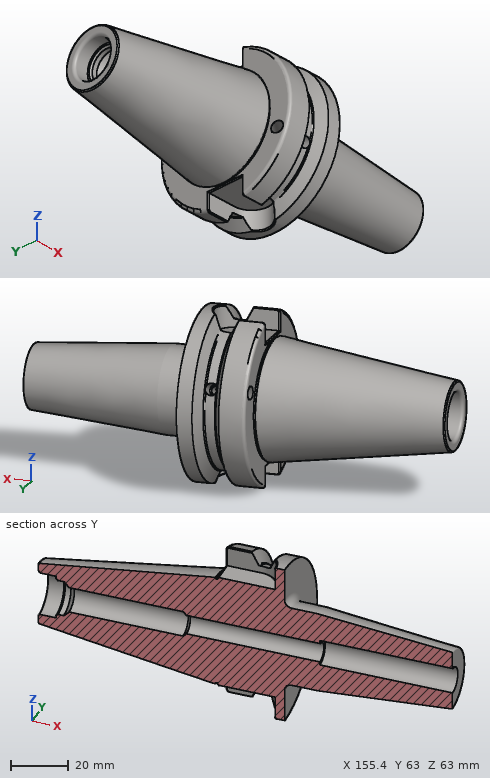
import cadquery as cq
import math

total_length = 155.4
taper_length = 65.7
flange_start = 67.3
flange_end = 92.5

gauge_diameter = 44.5
taper_ratio = 7 / 24
small_diameter = gauge_diameter - taper_length * taper_ratio
small_end_chamfer = 0.5
relief_start = 66.5
relief_radius = 21.8

flange_diameter = 63.0
flange_radius = flange_diameter / 2
flange_fillet = 1.2
groove_top_start = 77.0
groove_floor_width = 4.4
groove_top_width = 9.8
groove_center = groove_top_start + groove_top_width / 2
groove_radius = 26.5
groove_fillet = 0.6
groove_floor_start = groove_center - groove_floor_width / 2
groove_floor_end = groove_center + groove_floor_width / 2
groove_top_end = groove_top_start + groove_top_width

neck_radius = 16.2
neck_fillet = 2.6
neck_end = 104.6
nose_tip_radius = 12.0
nose_fillet = 0.6

slot_width = 16.2
slot_floor = 22.5
slot_end = 88.7
slot_floor_chamfer = 0.5
slot_edge_chamfer = 0.5

pilot_radius = 8.5
pilot_depth = 6.7
pilot_mouth_fillet = 1.2
seat_radius = 7.8
collar_radius = 7.0
collar_depth = 9.6
drill_radius = 5.0
drill_depth = 54.4
passage_radius = 3.7
clamp_radius = 5.0
clamp_depth = 49.7

coolant_angle = 20.5
coolant_radius = 2.3
coolant_face_distance = 26.9
coolant_tilt = 40.0
plug_radius = 2.2
plug_floor = 21.0
cross_radius = 1.5

rim_tolerance = 0.002


def revolve_profile(profile):
    """Close a half outline and turn it about the X axis."""
    return profile.close().revolve(360, (0, 0, 0), (1, 0, 0))


def make_body():
    """Taper, grooved flange and nose as one turned solid."""
    flank_run = (groove_top_width - groove_floor_width) / 2
    flank_angle = math.atan2(flange_radius - groove_radius, flank_run)
    corner_length = groove_fillet * math.tan(flank_angle / 2)
    corner_run = corner_length * math.cos(flank_angle)
    corner_rise = corner_length * math.sin(flank_angle)
    profile = (
        cq.Workplane("XZ")
        .moveTo(0, 0)
        .lineTo(0, small_diameter / 2 - small_end_chamfer)
        .lineTo(small_end_chamfer, small_diameter / 2 + small_end_chamfer * taper_ratio / 2)
        .lineTo(taper_length, gauge_diameter / 2)
        .lineTo(relief_start, gauge_diameter / 2)
        .lineTo(relief_start, relief_radius)
        .lineTo(flange_start, relief_radius)
        .lineTo(flange_start, flange_radius - flange_fillet)
        .radiusArc((flange_start + flange_fillet, flange_radius), flange_fillet)
        .lineTo(groove_top_start, flange_radius)
        .lineTo(groove_floor_start - corner_run, groove_radius + corner_rise)
        .radiusArc((groove_floor_start + corner_length, groove_radius), -groove_fillet)
        .lineTo(groove_floor_end - corner_length, groove_radius)
        .radiusArc((groove_floor_end + corner_run, groove_radius + corner_rise), -groove_fillet)
        .lineTo(groove_top_end, flange_radius)
        .lineTo(flange_end, flange_radius)
        .lineTo(flange_end, neck_radius + neck_fillet)
        .radiusArc((flange_end + neck_fillet, neck_radius), -neck_fillet)
        .lineTo(neck_end, neck_radius)
        .lineTo(total_length - nose_fillet, nose_tip_radius)
        .radiusArc((total_length, nose_tip_radius - nose_fillet), nose_fillet)
        .lineTo(total_length, 0)
    )
    return revolve_profile(profile)


def make_passage():
    """Stepped through passage, from the pilot in the small end to the clamping bore in the nose."""
    pilot_end = pilot_depth + seat_radius - collar_radius
    collar_cone_end = collar_depth + collar_radius - drill_radius
    clamp_start = total_length - clamp_depth
    profile = (
        cq.Workplane("XZ")
        .moveTo(0, 0)
        .lineTo(0, pilot_radius + pilot_mouth_fillet)
        .radiusArc((pilot_mouth_fillet, pilot_radius), -pilot_mouth_fillet)
        .lineTo(pilot_depth, pilot_radius)
        .lineTo(pilot_depth, seat_radius)
        .lineTo(pilot_end, collar_radius)
        .lineTo(collar_depth, collar_radius)
        .lineTo(collar_cone_end, drill_radius)
        .lineTo(drill_depth, drill_radius)
        .lineTo(drill_depth + drill_radius - passage_radius, passage_radius)
        .lineTo(clamp_start, passage_radius)
        .lineTo(clamp_start, clamp_radius)
        .lineTo(total_length, clamp_radius)
        .lineTo(total_length, 0)
    )
    return revolve_profile(profile)


def make_slot():
    """Drive slot on +Z with a round end and a bevelled entry edge on its floor."""
    arc_center = slot_end - slot_width / 2
    slot = (
        cq.Workplane("XY", origin=(0, 0, slot_floor))
        .moveTo(taper_length, -slot_width / 2)
        .lineTo(arc_center, -slot_width / 2)
        .threePointArc((slot_end, 0), (arc_center, slot_width / 2))
        .lineTo(taper_length, slot_width / 2)
        .close()
        .extrude(flange_radius - slot_floor)
    )
    bevel = (
        cq.Workplane("XZ")
        .moveTo(flange_start, slot_floor)
        .lineTo(flange_start + slot_floor_chamfer, slot_floor)
        .lineTo(flange_start, slot_floor - slot_floor_chamfer)
        .close()
        .extrude(slot_width / 2, both=True)
    )
    return slot.union(bevel)


def cylinder(radius, length, start, direction):
    return cq.Workplane(cq.Solid.makeCylinder(radius, length, cq.Vector(*start), cq.Vector(*direction)))


def make_coolant_hole():
    """Inclined feed from the flange face, crossed by a stepped radial hole from the groove (on +Y)."""
    tilt = math.radians(coolant_tilt)
    run = groove_center - flange_start
    meet_distance = coolant_face_distance - run * math.tan(tilt)
    lead = 2 * coolant_radius
    feed_direction = (math.cos(tilt), -math.sin(tilt), 0)
    feed_start = (flange_start - lead * math.cos(tilt), coolant_face_distance + lead * math.sin(tilt), 0)
    feed = cylinder(coolant_radius, lead + run / math.cos(tilt), feed_start, feed_direction)
    plug = cylinder(plug_radius, flange_radius - plug_floor, (groove_center, plug_floor, 0), (0, 1, 0))
    cross = cylinder(cross_radius, plug_floor - meet_distance, (groove_center, meet_distance, 0), (0, 1, 0))
    return feed.union(plug).union(cross).rotate((0, 0, 0), (1, 0, 0), coolant_angle)


def is_slot_rim_edge(edge):
    """True for the edges along which a drive slot cuts the outer cylinder of the flange."""
    middle = edge.positionAt(0.5)
    on_rim = abs(math.hypot(middle.y, middle.z) - flange_radius) < rim_tolerance
    inside_slot = abs(middle.y) < slot_width / 2 + rim_tolerance
    circumferential = edge.BoundingBox().xlen < rim_tolerance
    return on_rim and inside_slot and not circumferential


result = make_body().cut(make_passage())
for turn in (0, 180):
    result = result.cut(make_slot().rotate((0, 0, 0), (1, 0, 0), turn))
result = result.edges().filter(is_slot_rim_edge).chamfer(slot_edge_chamfer)
for turn in (0, 180):
    result = result.cut(make_coolant_hole().rotate((0, 0, 0), (1, 0, 0), turn))